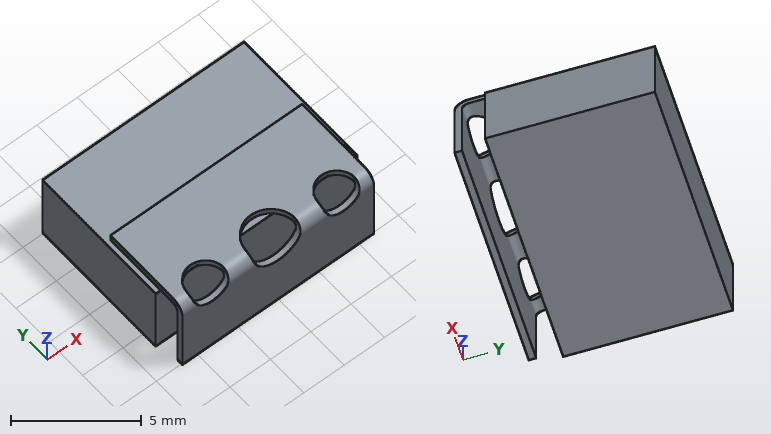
import cadquery as cq
import math

block_width = 10.0
block_depth = 6.8
block_height = 3.6

sheet = 0.3
bracket_width = 9.5
top_leg_length = 4.32
front_gap = 1.0
inner_bend_radius = 0.3

small_hole_diameter = 1.8
large_hole_diameter = 2.4
small_hole_offset = 3.25
hole_past_bend_start = 0.18
bend_length = 0.75
bend_sections = 7

outer_bend_radius = inner_bend_radius + sheet
overall_depth = block_depth + front_gap + sheet
overall_height = block_height + sheet
front_y = -overall_depth / 2
block_front_y = front_y + sheet + front_gap
bend_y = front_y + outer_bend_radius
bend_z = overall_height - outer_bend_radius


def make_block():
    return cq.Workplane("XY").box(
        block_width, block_depth, block_height, centered=(True, False, False)
    ).translate((0, block_front_y, 0))


def make_bracket():
    """L-shaped sheet profile in YZ, extruded symmetrically along X."""
    back_y = front_y + top_leg_length
    diagonal = math.sqrt(0.5)
    outer_mid = (bend_y - outer_bend_radius * diagonal, bend_z + outer_bend_radius * diagonal)
    inner_mid = (bend_y - inner_bend_radius * diagonal, bend_z + inner_bend_radius * diagonal)
    return (
        cq.Workplane("YZ")
        .moveTo(back_y, block_height)
        .lineTo(back_y, overall_height)
        .lineTo(bend_y, overall_height)
        .threePointArc(outer_mid, (front_y, bend_z))
        .lineTo(front_y, 0)
        .lineTo(front_y + sheet, 0)
        .lineTo(front_y + sheet, bend_z)
        .threePointArc(inner_mid, (bend_y, block_height))
        .close()
        .extrude(bracket_width / 2, both=True)
    )


def bend_section(x, radius, turn):
    """Rectangle across the sheet, a fraction `turn` of the way round the bend."""
    along_sheet = turn * bend_length - hole_past_bend_start
    half_width = math.sqrt(radius ** 2 - along_sheet ** 2)
    angle = turn * math.pi / 2
    margin = sheet / 2

    def corner(side, distance):
        y = bend_y - distance * math.sin(angle)
        z = bend_z + distance * math.cos(angle)
        return cq.Vector(x + side * half_width, y, z)

    inside = inner_bend_radius - margin
    outside = outer_bend_radius + margin
    corners = [corner(-1, inside), corner(1, inside), corner(1, outside), corner(-1, outside)]
    return cq.Wire.makePolygon(corners, close=True)


def cut_bent_hole(bracket, x, diameter):
    """Cut a hole whose walls stay square to the sheet in both legs and the bend."""
    radius = diameter / 2

    top_circle = cq.Workplane("XY", origin=(x, bend_y - hole_past_bend_start, block_height))
    top_region = cq.Workplane("XY", origin=(x, bend_y, block_height))
    top_part = top_circle.circle(radius).extrude(sheet).intersect(
        top_region.box(diameter, diameter, sheet, centered=(True, False, False))
    )

    front_center_z = bend_z + bend_length - hole_past_bend_start
    front_circle = cq.Workplane("XZ", origin=(x, front_y + sheet, front_center_z))
    front_region = cq.Workplane("XY", origin=(x, front_y, bend_z - diameter))
    front_part = front_circle.circle(radius).extrude(sheet).intersect(
        front_region.box(diameter, sheet, diameter, centered=(True, False, False))
    )

    turns = [i / (bend_sections - 1) for i in range(bend_sections)]
    wrapped_part = cq.Solid.makeLoft([bend_section(x, radius, turn) for turn in turns])

    return bracket.cut(top_part).cut(front_part).cut(cq.Workplane(wrapped_part))


bracket = make_bracket()
bracket = cut_bent_hole(bracket, 0, large_hole_diameter)
for x in (-small_hole_offset, small_hole_offset):
    bracket = cut_bent_hole(bracket, x, small_hole_diameter)

result = make_block().union(bracket)